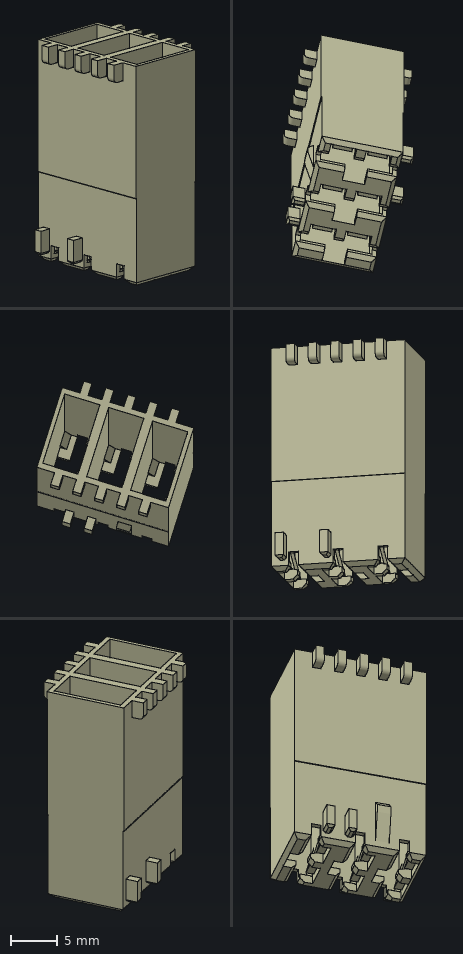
import cadquery as cq

length = 15.0
height = 25.0
depth = 9.25
lower_depth = 9.05
lower_height = 10.0
side_wall = 0.5
foot_bevel = 0.5

cell_count = 3
cell_pitch = length / cell_count
cell_width = cell_pitch - 2 * side_wall
cell_depth = 8.0
floor_thickness = 1.0
cell_centres = [-cell_pitch, 0.0, cell_pitch]

notch_width = 1.1
notch_height = 2.0

ledge_width = (cell_width - notch_width) / 2
corner_ledge_depth = 0.6
centre_bar_width = 1.05
centre_bar_rise = 0.45
right_opening_width = 2.5

left_ramp_width = 0.9
left_ramp_height = 3.5
left_ramp_inner_y = 0.88
left_ramp_outer_y = 3.02
right_ramp_width = 0.75
right_ramp_height = 1.05
right_ramp_inner_y = 2.32
gusset_width = 0.72
gusset_height = 2.08

total_depth = 12.0
rib_width = 0.95
rib_height = 2.05
rib_radius = 0.5
rib_pitch = 2.5
rib_count = 5

peg_width = 0.95
peg_reach = 5.9
peg_bottom = 1.1
peg_top = 3.88
peg_bevel = 0.28
front_peg_places = [-6.25, -1.25]
back_peg_places = [1.25, 3.75]

wedge_x = -2.5
wedge_width = 1.55
wedge_reach = 5.15
wedge_bottom = 1.25
wedge_crest_low = 4.7
wedge_crest_high = 5.7
wedge_top = 6.4


def box(x0, x1, y0, y1, z0, z1):
    """Axis-aligned block between two opposite corners."""
    return cq.Workplane("XY").box(x1 - x0, y1 - y0, z1 - z0, centered=False).translate((x0, y0, z0))


def prism_along_y(points, y0, y1):
    """Prism with an XZ outline, running from y0 to y1."""
    return cq.Workplane("XZ", origin=(0, y0, 0)).polyline(points).close().extrude(y0 - y1)


def prism_along_x(points, x_centre, width):
    """Prism with a YZ outline, centred on x_centre."""
    plane = cq.Workplane("YZ", origin=(x_centre - width / 2, 0, 0))
    return plane.polyline(points).close().extrude(width)


def housing():
    lower = cq.Workplane("XY").box(length, lower_depth, lower_height, centered=(True, True, False))
    lower = lower.faces("<Z").edges().chamfer(foot_bevel)
    upper_height = height - lower_height
    upper = cq.Workplane("XY").box(length, depth, upper_height, centered=(True, True, False))
    return lower.union(upper.translate((0, 0, lower_height)))


def cell_cutter(x):
    """Open cell above the floor, the notch with flared mouth, and the floor openings."""
    left = x - cell_width / 2
    right = x + cell_width / 2
    half_notch = notch_width / 2
    flare = half_notch + foot_bevel
    cell = box(left, right, -cell_depth / 2, cell_depth / 2, floor_thickness, height)
    notch_outline = [
        (x - flare, 0),
        (x - half_notch, foot_bevel),
        (x - half_notch, notch_height),
        (x + half_notch, notch_height),
        (x + half_notch, foot_bevel),
        (x + flare, 0),
    ]
    notch = prism_along_y(notch_outline, -depth / 2, depth / 2)
    left_reach = cell_depth / 2 - corner_ledge_depth
    left_opening = box(left, x, -left_reach, left_reach, 0, floor_thickness)
    right_opening = box(x, right, -right_opening_width / 2, right_opening_width / 2, 0, floor_thickness)
    return cell.union(notch).union(left_opening).union(right_opening)


def centre_bar(x):
    """Bar across the left opening, its top falling from the wall to the notch."""
    left = x - cell_width / 2
    tip = left + ledge_width
    outline = [
        (left, 0),
        (tip - foot_bevel, 0),
        (tip, foot_bevel),
        (tip, floor_thickness),
        (left, floor_thickness + centre_bar_rise),
    ]
    return prism_along_y(outline, -centre_bar_width / 2, centre_bar_width / 2)


def gusset(x, side):
    """Three-sided pyramid in a left corner of the cell; side is the sign of Y."""
    left = x - cell_width / 2
    corner_y = side * cell_depth / 2
    base = [
        (left, corner_y),
        (left + gusset_width, corner_y),
        (left, corner_y - side * corner_ledge_depth),
    ]
    low = [cq.Vector(px, py, floor_thickness) for px, py in base]
    apex = cq.Vector(left, corner_y, floor_thickness + gusset_height)
    triangles = [low, [low[0], low[1], apex], [low[1], low[2], apex], [low[2], low[0], apex]]
    faces = [cq.Face.makeFromWires(cq.Wire.makePolygon(t, close=True)) for t in triangles]
    return cq.Workplane(obj=cq.Solid.makeSolid(cq.Shell.makeShell(faces)))


def ramps(x, side):
    """Steep ramp on the left wall and short ramp on the right wall; side is the sign of Y."""
    left = x - cell_width / 2
    right = x + cell_width / 2
    base = floor_thickness
    left_outline = [(left, base), (left + left_ramp_width, base), (left, base + left_ramp_height)]
    right_outline = [(right, base), (right - right_ramp_width, base), (right, base + right_ramp_height)]
    left_ramp = prism_along_y(left_outline, side * left_ramp_inner_y, side * left_ramp_outer_y)
    right_ramp = prism_along_y(right_outline, side * right_ramp_inner_y, side * cell_depth / 2)
    return left_ramp.union(right_ramp)


def rim_rib(x):
    """Front and back rib at one place, with rounded lower outer edges."""
    half_width = rib_width / 2
    half_depth = total_depth / 2
    blank = box(x - half_width, x + half_width, -half_depth, half_depth, height - rib_height, height)
    blank = blank.edges("|X and <Z").fillet(rib_radius)
    return blank.cut(box(-length, length, -cell_depth / 2, cell_depth / 2, 0, height))


def peg(x, side):
    """Peg on the front (side -1) or back (side +1) face, bevelled at its lower end."""
    inner_y = cell_depth / 2
    blank = box(x - peg_width / 2, x + peg_width / 2, -peg_reach, peg_reach, peg_bottom, peg_top)
    blank = blank.faces("<Z").edges().chamfer(peg_bevel)
    near_y, far_y = sorted((side * inner_y, -side * peg_reach))
    return blank.cut(box(-length, length, near_y, far_y, 0, height))


def snap_wedge():
    face_y = lower_depth / 2
    root_y = cell_depth / 2
    outline = [
        (root_y, wedge_bottom),
        (face_y, wedge_bottom),
        (wedge_reach, wedge_crest_low),
        (wedge_reach, wedge_crest_high),
        (face_y, wedge_top),
        (root_y, wedge_top),
    ]
    return prism_along_x(outline, wedge_x, wedge_width)


result = housing()
for x in cell_centres:
    result = result.cut(cell_cutter(x)).union(centre_bar(x))
    for side in (-1, 1):
        result = result.union(ramps(x, side)).union(gusset(x, side))

for i in range(rib_count):
    result = result.union(rim_rib((i - (rib_count - 1) / 2) * rib_pitch))

for x in front_peg_places:
    result = result.union(peg(x, -1))
for x in back_peg_places:
    result = result.union(peg(x, 1))

result = result.union(snap_wedge())